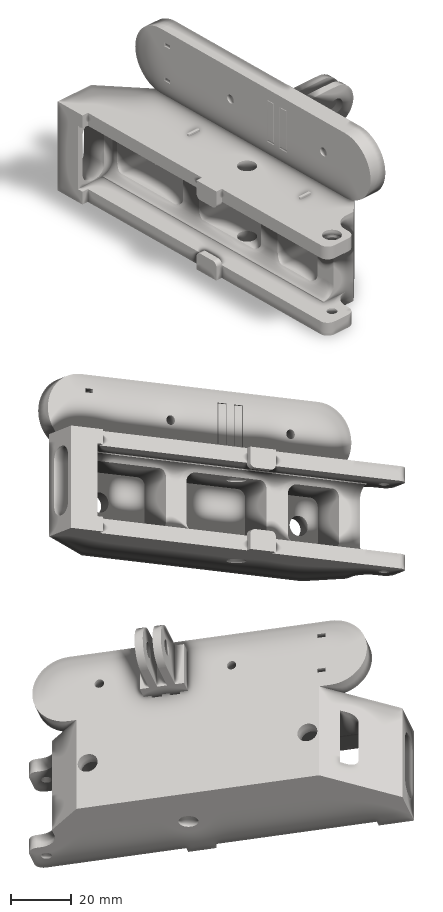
import cadquery as cq
LENGTH = 128.0
HOUSING_HEIGHT = 34.5
HOUSING_DEPTH = 35.2
MID_Z = HOUSING_HEIGHT / 2
SIDE_THICKNESS = 5.0
RAIL_FRONT = 2.4
SHOULDER_Y = 15.1
SLOPE_RUN = 23.2
CORE_RIGHT = 117.0
CHAMFER_RUN = 11.1
CHAMFER_DEPTH = 10.6
EAR_INNER_RADIUS = 6.1
EAR_CORNER_RADIUS = 3.2

END_WALL = 9.9
END_TAB_LENGTH = 12.0
END_SLOT_WIDTH = 9.7
END_SLOT_HEIGHT = 23.3
END_SLOT_Y = 6.9
END_SLOT_RADIUS = 4.2

CORE_FRONT = 11.0
TROUGH_BOTTOM = 15.5
TROUGH_HEIGHT = 23.8
TROUGH_RADIUS = TROUGH_BOTTOM - CORE_FRONT
BACK_WALL = 5.0
WINDOW_SPANS = [(12.2, 44.2), (51.8, 81.9), (90.0, 109.2)]
WINDOW_HEIGHT = 20.1
WINDOW_RADIUS = 3.0

LIP_LEFT = 67.3
LIP_WIDTH = 9.6
LIP_OVERHANG = 1.9
LIP_RADIUS = 1.8

BACK_HOLE_DIAMETER = 6.8
BACK_HOLE_X = [27.1, 102.0]
SIDE_HOLE_DIAMETER = 6.7
SIDE_HOLE_X = 72.0
SIDE_HOLE_Y = 18.3
HINGE_X = 122.8
HINGE_Y = 9.5
HINGE_HOLE_DIAMETER = 3.6
HINGE_RECESS_DIAMETER = 6.5
HINGE_RECESS_DEPTH = 1.9
BUSHING_DIAMETER = HINGE_RECESS_DIAMETER

PLATE_LENGTH = 114.0
PLATE_HEIGHT = 25.0
PLATE_THICKNESS = 6.7
PLATE_X = 63.9
PLATE_Z = HOUSING_HEIGHT + PLATE_HEIGHT / 2
FEATURE_Z = 47.5
SCREW_HOLE_DIAMETER = 3.2
SCREW_HOLE_X = [53.0, 98.0]
TIE_HOLE_X = 22.4
TIE_HOLE_WIDTH = 2.8
TIE_HOLE_HEIGHT = 1.4
TIE_HOLE_PITCH = 13.5

CLEVIS_X = 75.4
CLEVIS_SIZE = 15.1
CLEVIS_BASE_DEPTH = 5.0
PRONG_WIDTH = 2.8
PRONG_PITCH = 6.1
CLEVIS_REACH = 23.7
CLEVIS_HOLE_DIAMETER = 5.4
PRONG_SLOT_WIDTH = 3.5
PRONG_SLOT_HEIGHT = 16.1
PRONG_SLOT_Z = 47.2

RIB_WIDTH = 1.08
RIB_LENGTH = 4.9
RIB_HEIGHT = 0.8
RIB_PITCH = 53.9
RIB_Y = 19.2


def block(x, y, z):
    """Box given by its (low, high) limits along each axis."""
    size = [high - low for low, high in (x, y, z)]
    return cq.Workplane("XY").box(*size, centered=False).translate((x[0], y[0], z[0]))


def drill_along_y(x, z, diameter, y_start, y_end):
    hole = cq.Workplane("XZ").center(x, z).circle(diameter / 2).extrude(y_start - y_end)
    return hole.translate((0, y_start, 0))


def side_outline():
    ear_start = CORE_RIGHT + EAR_INNER_RADIUS
    bend = EAR_INNER_RADIUS * (1 - 0.5 ** 0.5)
    return (
        cq.Workplane("XY")
        .moveTo(0, RAIL_FRONT)
        .lineTo(LENGTH, RAIL_FRONT)
        .lineTo(LENGTH, SHOULDER_Y)
        .lineTo(ear_start, SHOULDER_Y)
        .threePointArc(
            (CORE_RIGHT + bend, SHOULDER_Y + bend),
            (CORE_RIGHT, SHOULDER_Y + EAR_INNER_RADIUS),
        )
        .lineTo(CORE_RIGHT, HOUSING_DEPTH - CHAMFER_DEPTH)
        .lineTo(CORE_RIGHT - CHAMFER_RUN, HOUSING_DEPTH)
        .lineTo(SLOPE_RUN, HOUSING_DEPTH)
        .lineTo(0, SHOULDER_Y)
        .close()
    )


def make_side_plates():
    body = side_outline().extrude(HOUSING_HEIGHT)
    body = body.edges("|Z and >X").fillet(EAR_CORNER_RADIUS)
    gap_z = (SIDE_THICKNESS, HOUSING_HEIGHT - SIDE_THICKNESS)
    body = body.cut(block((END_WALL, LENGTH), (0, CORE_FRONT), gap_z))
    return body.cut(block((CORE_RIGHT, LENGTH), (0, HOUSING_DEPTH), gap_z))


def make_front_wall():
    wall = block((0, END_TAB_LENGTH), (0, RAIL_FRONT), (0, HOUSING_HEIGHT))
    gap_z = (SIDE_THICKNESS, HOUSING_HEIGHT - SIDE_THICKNESS)
    return wall.cut(block((END_WALL, END_TAB_LENGTH), (0, RAIL_FRONT), gap_z))


def make_lip(bottom, rounded_edges):
    x = (LIP_LEFT, LIP_LEFT + LIP_WIDTH)
    lip = block(x, (0, RAIL_FRONT), (bottom, bottom + SIDE_THICKNESS + LIP_OVERHANG))
    return lip.edges(rounded_edges).fillet(LIP_RADIUS)


def cut_core(housing):
    trough_z = (MID_Z - TROUGH_HEIGHT / 2, MID_Z + TROUGH_HEIGHT / 2)
    trough = block((END_WALL, CORE_RIGHT), (0, TROUGH_BOTTOM), trough_z)
    housing = housing.cut(trough.edges("|X and >Y").fillet(TROUGH_RADIUS))
    window_z = (MID_Z - WINDOW_HEIGHT / 2, MID_Z + WINDOW_HEIGHT / 2)
    for span in WINDOW_SPANS:
        window = block(span, (CORE_FRONT, HOUSING_DEPTH - BACK_WALL), window_z)
        housing = housing.cut(window.edges("|Y").fillet(WINDOW_RADIUS))
    end_slot = block(
        (0, END_WALL),
        (END_SLOT_Y - END_SLOT_WIDTH / 2, END_SLOT_Y + END_SLOT_WIDTH / 2),
        (MID_Z - END_SLOT_HEIGHT / 2, MID_Z + END_SLOT_HEIGHT / 2),
    )
    return housing.cut(end_slot.edges("|X").fillet(END_SLOT_RADIUS))


def disc(x, y, diameter, bottom, top):
    return cq.Workplane("XY", origin=(x, y, bottom)).circle(diameter / 2).extrude(top - bottom)


def cut_housing_holes(housing):
    for x in BACK_HOLE_X:
        hole = drill_along_y(x, MID_Z, BACK_HOLE_DIAMETER, HOUSING_DEPTH - BACK_WALL, HOUSING_DEPTH)
        housing = housing.cut(hole)
    housing = housing.cut(disc(SIDE_HOLE_X, SIDE_HOLE_Y, SIDE_HOLE_DIAMETER, 0, HOUSING_HEIGHT))
    housing = housing.cut(disc(HINGE_X, HINGE_Y, HINGE_HOLE_DIAMETER, 0, HOUSING_HEIGHT))
    recess_floor = HOUSING_HEIGHT - HINGE_RECESS_DEPTH
    housing = housing.cut(disc(HINGE_X, HINGE_Y, HINGE_RECESS_DIAMETER, recess_floor, HOUSING_HEIGHT))
    return housing.cut(disc(HINGE_X, HINGE_Y, BUSHING_DIAMETER, 0, SIDE_THICKNESS))


def make_locating_rib(x):
    return (
        cq.Workplane("XY", origin=(x, RIB_Y, HOUSING_HEIGHT))
        .slot2D(RIB_LENGTH, RIB_WIDTH, 90)
        .extrude(RIB_HEIGHT)
    )


def make_housing():
    housing = cut_core(make_side_plates().union(make_front_wall()))
    housing = housing.union(make_lip(0, "|Y and >Z"))
    housing = housing.union(make_lip(HOUSING_HEIGHT - SIDE_THICKNESS - LIP_OVERHANG, "|Y and <Z"))
    for x in (SIDE_HOLE_X - RIB_PITCH / 2, SIDE_HOLE_X + RIB_PITCH / 2):
        housing = housing.union(make_locating_rib(x))
    return cut_housing_holes(housing)


def prong_centres():
    return [CLEVIS_X - PRONG_PITCH / 2, CLEVIS_X + PRONG_PITCH / 2]


def make_backplate():
    plate_front = HOUSING_DEPTH - PLATE_THICKNESS
    through_y = (plate_front, HOUSING_DEPTH)
    plate = (
        cq.Workplane("XZ", origin=(PLATE_X, HOUSING_DEPTH, PLATE_Z))
        .slot2D(PLATE_LENGTH, PLATE_HEIGHT)
        .extrude(PLATE_THICKNESS)
    )
    for x in SCREW_HOLE_X:
        plate = plate.cut(drill_along_y(x, FEATURE_Z, SCREW_HOLE_DIAMETER, plate_front, HOUSING_DEPTH))
    for z in (FEATURE_Z - TIE_HOLE_PITCH / 2, FEATURE_Z + TIE_HOLE_PITCH / 2):
        plate = plate.cut(block(
            (TIE_HOLE_X - TIE_HOLE_WIDTH / 2, TIE_HOLE_X + TIE_HOLE_WIDTH / 2),
            through_y,
            (z - TIE_HOLE_HEIGHT / 2, z + TIE_HOLE_HEIGHT / 2),
        ))
    for x in prong_centres():
        plate = plate.cut(block(
            (x - PRONG_SLOT_WIDTH / 2, x + PRONG_SLOT_WIDTH / 2),
            through_y,
            (PRONG_SLOT_Z - PRONG_SLOT_HEIGHT / 2, PRONG_SLOT_Z + PRONG_SLOT_HEIGHT / 2),
        ))
    return plate


def make_clevis():
    z = (FEATURE_Z - CLEVIS_SIZE / 2, FEATURE_Z + CLEVIS_SIZE / 2)
    clevis = block(
        (CLEVIS_X - CLEVIS_SIZE / 2, CLEVIS_X + CLEVIS_SIZE / 2),
        (HOUSING_DEPTH, HOUSING_DEPTH + CLEVIS_BASE_DEPTH),
        z,
    )
    eye_radius = CLEVIS_SIZE / 2
    eye_y = HOUSING_DEPTH + CLEVIS_REACH - eye_radius
    for x in prong_centres():
        left = x - PRONG_WIDTH / 2
        prong = block((left, left + PRONG_WIDTH), (HOUSING_DEPTH - PLATE_THICKNESS, eye_y), z)
        eye = cq.Workplane("YZ", origin=(left, eye_y, FEATURE_Z)).circle(eye_radius).extrude(PRONG_WIDTH)
        clevis = clevis.union(prong.union(eye))
    hole = cq.Workplane("YZ", origin=(0, eye_y, FEATURE_Z)).circle(CLEVIS_HOLE_DIAMETER / 2).extrude(LENGTH)
    return clevis.cut(hole).clean()


def make_bushing():
    bushing = disc(HINGE_X, HINGE_Y, BUSHING_DIAMETER, 0, SIDE_THICKNESS)
    return bushing.cut(disc(HINGE_X, HINGE_Y, HINGE_HOLE_DIAMETER, 0, SIDE_THICKNESS))


housing = make_housing()
backplate = make_backplate()
clevis = make_clevis()
bushing = make_bushing()

result = cq.Compound.makeCompound([housing.val(), backplate.val(), clevis.val(), bushing.val()])